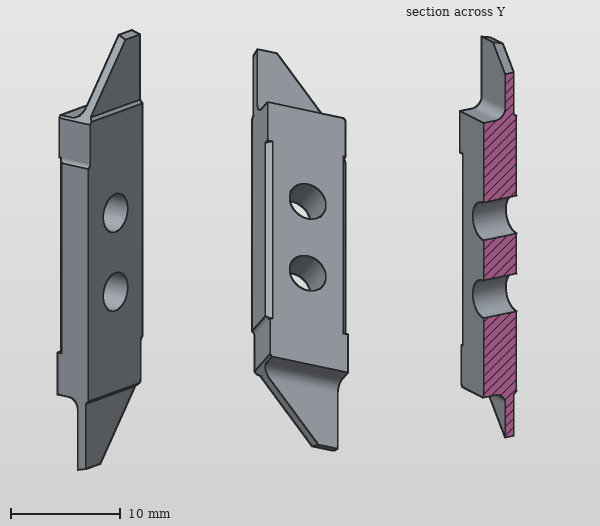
import cadquery as cq
import math

thickness = 3.6
width = 8.0
length = 40.0

blade_inner_x = 2.35
blade_outer_x = 3.3
root_fillet_radius = 1.0
tip_bevel_drop = 0.25
tip_flat_width = 1.95
slant_angle = 50.3

shoulder_z = 13.25
step_depth = 0.25
step_z = 9.3
step_fillet_radius = 0.5

relief_size = 0.5
relief_half_length = 9.25

hole_diameter = 3.6
hole_spacing = 7.5

half_width = width / 2
half_length = length / 2
back_chamfer = thickness - blade_outer_x


def half_turn(solid):
    """Turn a solid to the opposite end; the part repeats after 180 degrees about X."""
    return solid.rotate((0, 0, 0), (1, 0, 0), 180)


def end_profile():
    """XZ section of the upper half: body, filleted blade root and bevelled tip."""
    return (
        cq.Workplane("XZ")
        .moveTo(0, 0)
        .lineTo(0, shoulder_z)
        .lineTo(blade_inner_x - root_fillet_radius, shoulder_z)
        .radiusArc((blade_inner_x, shoulder_z + root_fillet_radius), -root_fillet_radius)
        .lineTo(blade_inner_x, half_length)
        .lineTo(blade_outer_x, half_length - tip_bevel_drop)
        .lineTo(blade_outer_x, shoulder_z + back_chamfer)
        .lineTo(thickness, shoulder_z)
        .lineTo(thickness, 0)
        .close()
        .extrude(half_width, both=True)
    )


def end_outline():
    """YZ outline of the upper half: slanted blade edge, narrowed body and fillet out to full width."""
    step_y = step_depth - half_width
    slant_top_y = half_width - tip_flat_width
    slant_bottom_z = half_length - (slant_top_y - step_y) * math.tan(math.radians(slant_angle))
    fillet_length = math.sqrt(step_fillet_radius**2 - (step_fillet_radius - step_depth)**2)
    return (
        cq.Workplane("YZ")
        .moveTo(half_width, 0)
        .lineTo(half_width, half_length)
        .lineTo(slant_top_y, half_length)
        .lineTo(step_y, slant_bottom_z)
        .lineTo(step_y, step_z)
        .radiusArc((-half_width, step_z - fillet_length), step_fillet_radius)
        .lineTo(-half_width, 0)
        .close()
        .extrude(thickness)
    )


def edge_relief(side):
    """Wedge that chamfers the middle of one long edge; side is +1 or -1 along Y."""
    edge_y = side * half_width
    corner = [
        (0, edge_y),
        (relief_size, edge_y),
        (0, edge_y - side * relief_size),
    ]
    return (
        cq.Workplane("XY")
        .polyline(corner)
        .close()
        .extrude(relief_half_length, both=True)
    )


def mounting_holes():
    """Two cylinders through the full thickness, evenly placed about the centre."""
    return (
        cq.Workplane("YZ")
        .pushPoints([(0, -hole_spacing / 2), (0, hole_spacing / 2)])
        .circle(hole_diameter / 2)
        .extrude(thickness)
    )


upper_half = end_profile().intersect(end_outline())
result = upper_half.union(half_turn(upper_half))
for relief_side in (-1, 1):
    result = result.cut(edge_relief(relief_side))
result = result.cut(mounting_holes())